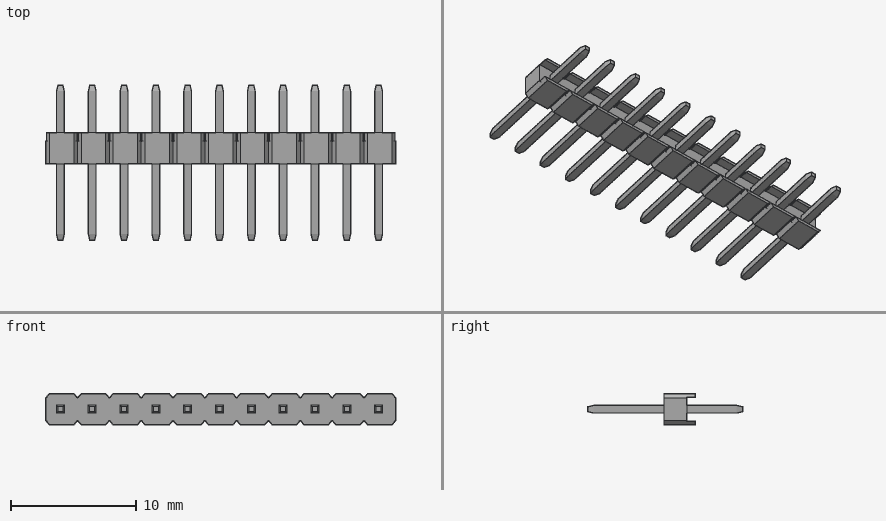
import cadquery as cq

PIN_COUNT = 11
PITCH = 2.54

BAR_LENGTH = PIN_COUNT * PITCH
BAR_DEPTH = 2.5
BAR_HEIGHT = 2.5
CHAMFER_X = 0.3
CHAMFER_Z = 0.35

SLOT_DEPTH = 0.68
SLOT_HEIGHT = 1.9

PIN_WIDTH = 0.64
TIP_WIDTH = 0.4
TIP_LENGTH = 0.5
FRONT_REACH = 6.1
PIN_LENGTH = 12.4
FIRST_PIN_X = 1.17


def bar_segment(index):
    """One octagonal pitch of the bar; adjacent chamfers form the V notches."""
    left = index * PITCH
    right = left + PITCH
    top = BAR_HEIGHT / 2
    shoulder = top - CHAMFER_Z
    return (
        cq.Workplane("XZ")
        .polyline([
            (left, -shoulder),
            (left + CHAMFER_X, -top),
            (right - CHAMFER_X, -top),
            (right, -shoulder),
            (right, shoulder),
            (right - CHAMFER_X, top),
            (left + CHAMFER_X, top),
            (left, shoulder),
        ])
        .close()
        .extrude(-BAR_DEPTH)
    )


def back_slot():
    return cq.Workplane("XY").box(BAR_LENGTH, SLOT_DEPTH, SLOT_HEIGHT).translate(
        (BAR_LENGTH / 2, BAR_DEPTH - SLOT_DEPTH / 2, 0)
    )


def pin_tip(x, base_y, direction):
    """Tapered square end, narrowing from base_y along +Y (direction 1) or -Y (direction -1)."""
    base_plane = cq.Plane(origin=(x, base_y, 0), xDir=(1, 0, 0), normal=(0, direction, 0))
    return (
        cq.Workplane(base_plane)
        .rect(PIN_WIDTH, PIN_WIDTH)
        .workplane(offset=TIP_LENGTH)
        .rect(TIP_WIDTH, TIP_WIDTH)
        .loft(ruled=True)
    )


def pin(x):
    shank_front = TIP_LENGTH - FRONT_REACH
    shank_length = PIN_LENGTH - 2 * TIP_LENGTH
    shank_back = shank_front + shank_length
    shank = cq.Workplane("XY").box(PIN_WIDTH, shank_length, PIN_WIDTH).translate(
        (x, (shank_front + shank_back) / 2, 0)
    )
    return shank.union(pin_tip(x, shank_front, -1)).union(pin_tip(x, shank_back, 1))


bar = bar_segment(0)
for segment_index in range(1, PIN_COUNT):
    bar = bar.union(bar_segment(segment_index))
bar = bar.clean().cut(back_slot())

result = bar
for pin_index in range(PIN_COUNT):
    result = result.union(pin(FIRST_PIN_X + pin_index * PITCH))